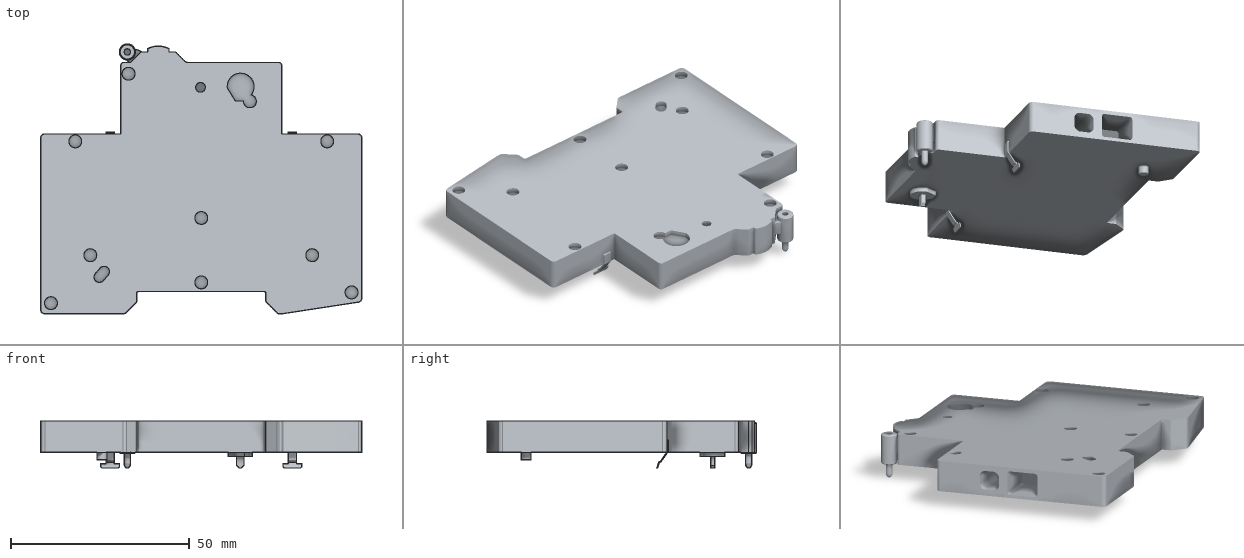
import cadquery as cq
import math

BODY_WIDTH = 89.8
BODY_THICKNESS = 8.8
HALF_WIDTH = BODY_WIDTH / 2
SHOULDER_Y = 50.3
TOWER_HALF_WIDTH = 22.55
TOWER_Y = 70.3
CORNER_RADIUS = 1.2
TOWER_CORNER_RADIUS = 1.0

NOTCH_HALF_WIDTH = 18.0
NOTCH_Y = 6.2
FOOT_SLOPE = 3.3
RIGHT_FOOT_SLOPE = 3.45
RIGHT_FOOT_FLAT = 1.2
RIGHT_EDGE_Y = 3.4
FOOT_RADIUS = 1.2
NOTCH_RADIUS = 0.8
RIGHT_FOOT_RADIUS = 0.8
RIGHT_FLAT_RADIUS = 2.0
NOTCH_CORNER_RADIUS = 0.4

HUMP_X = -12.0
HUMP_BASE_HALF_WIDTH = 7.7
HUMP_STEP_Y = 73.2
HUMP_CAP_HALF_WIDTH = 3.0
HUMP_CAP_Y = 74.1
HUMP_TOP_Y = 74.85
HUMP_BLEND_RADIUS = 1.5

RECESS_DIAMETER = 3.6
RECESS_DEPTH = 1.5
RECESS_POINTS = [
    (-20.3, 67.1),
    (-35.2, 48.2),
    (35.2, 48.2),
    (0, 26.8),
    (0, 8.8),
    (-31, 16.4),
    (31, 16.4),
    (-42, 3),
    (42, 6),
]
SMALL_HOLE_DIAMETER = 2.7
SMALL_HOLE_DEPTH = 4.0
SMALL_HOLE_POINT = (-0.2, 63.3)

SLOT_POINT = (-27.8, 11.05)
SLOT_WIDTH = 3.0
SLOT_LENGTH = 5.0
SLOT_DEPTH = 1.5
SLOT_ANGLE = 49
PEG_POINT = (-27.8, 11.0)
PEG_RADIUS = 1.4
PEG_HEIGHT = 2.1

KEY_RECESS_POINT = (11.0, 63.5)
KEY_RECESS_RADIUS = 3.75
KEY_RECESS_FLAT = 4.05
KEY_RECESS_DEPTH = 1.5
KEY_LOBE_POINT = (13.6, 59.4)
KEY_BOSS_POINT = (10.9, 63.15)
KEY_BOSS_RADIUS = 3.4
KEY_BOSS_FLAT = 3.6
KEY_BOSS_HEIGHT = 1.2
KEY_LEFT_ANGLE = 186
KEY_MIDDLE_ANGLE = 70
KEY_RIGHT_ANGLE = -45
KEY_SIDE_LEAN = 32
KEY_FLAT_REACH = 1.2
KEY_CORNER_RADIUS = 0.5
KEY_PIN_WIDTH = 2.1
KEY_PIN_DEPTH = 1.2
KEY_PIN_TIP_WIDTH = 0.7
KEY_PIN_TAPER = 0.75

UNDERSIDE_DEPTH = 4.4

SOCKET_DEPTH = 12.0
SQUARE_SOCKET = (24.65, 4.3, 8.9, 6.8, 0.7)
ROUND_SOCKET = (34.45, 4.4, 5.7, 5.5, 1.7)

BARREL_RADIUS = 2.25
BARREL_Y_END = 75.44
BARREL_POINT = (-20.65, BARREL_Y_END - BARREL_RADIUS)
BARREL_BOTTOM = -0.3
BARREL_TOP = 8.25
BARREL_CHAMFER = 0.25
BARREL_PIN_RADIUS = 0.9
BARREL_HOLE_DEPTH = 4.0
PIN_TIP_LENGTH = 1.1
PIN_TIP_RADIUS = 0.25
PIN_TIP_MIDDLE_RADIUS = 0.72
PIN_TIP_MIDDLE_HEIGHT = 0.44
ARM_BOTTOM = 2.95
ARM_TOP = 6.75
ARM_OUTLINE = [(0, 0), (2.0, 0.75), (3.0, 0.55), (4.1, 0), (4.1, -1.0), (0.9, -3.35), (-0.15, -2.3)]

CLIP_X = 25.45
CLIP_THICKNESS = 0.25
CLIP_STEM_WIDTH = 2.4
CLIP_HEAD_WIDTH = 5.3
CLIP_HEAD_TOP = -3.2
CLIP_HEAD_CHAMFER = 0.35
CLIP_TOP = 3.3
CLIP_GAP = 0.35
CLIP_ROOT_DEPTH = 1.0
CLIP_BEND_Z = 0.3
CLIP_KNEE_START = (48.6, -2.6)
CLIP_KNEE_END = (48.15, -2.8)
CLIP_TIP = (47.5, -4.8)
CLIP_TRIM_REACH = 10.0


def round_edge(body, x, y, radius):
    """Round the vertical body edge that stands at (x, y)."""
    return body.edges(cq.NearestToPointSelector((x, y, BODY_THICKNESS / 2))).fillet(radius)


def make_body():
    left_foot = -NOTCH_HALF_WIDTH - FOOT_SLOPE
    right_foot = NOTCH_HALF_WIDTH + RIGHT_FOOT_SLOPE
    right_flat_end = right_foot + RIGHT_FOOT_FLAT
    outline = [
        (-HALF_WIDTH, 0),
        (left_foot, 0),
        (-NOTCH_HALF_WIDTH, FOOT_SLOPE),
        (-NOTCH_HALF_WIDTH, NOTCH_Y),
        (NOTCH_HALF_WIDTH, NOTCH_Y),
        (NOTCH_HALF_WIDTH, RIGHT_FOOT_SLOPE),
        (right_foot, 0),
        (right_flat_end, 0),
        (HALF_WIDTH, RIGHT_EDGE_Y),
        (HALF_WIDTH, SHOULDER_Y),
        (TOWER_HALF_WIDTH, SHOULDER_Y),
        (TOWER_HALF_WIDTH, TOWER_Y),
        (-TOWER_HALF_WIDTH, TOWER_Y),
        (-TOWER_HALF_WIDTH, SHOULDER_Y),
        (-HALF_WIDTH, SHOULDER_Y),
    ]
    body = cq.Workplane("XY").polyline(outline).close().extrude(BODY_THICKNESS)
    rounded = [
        (-HALF_WIDTH, 0, CORNER_RADIUS),
        (-HALF_WIDTH, SHOULDER_Y, CORNER_RADIUS),
        (HALF_WIDTH, SHOULDER_Y, CORNER_RADIUS),
        (HALF_WIDTH, RIGHT_EDGE_Y, CORNER_RADIUS),
        (-TOWER_HALF_WIDTH, TOWER_Y, TOWER_CORNER_RADIUS),
        (TOWER_HALF_WIDTH, TOWER_Y, TOWER_CORNER_RADIUS),
        (left_foot, 0, FOOT_RADIUS),
        (right_foot, 0, RIGHT_FOOT_RADIUS),
        (right_flat_end, 0, RIGHT_FLAT_RADIUS),
        (-NOTCH_HALF_WIDTH, FOOT_SLOPE, NOTCH_RADIUS),
        (NOTCH_HALF_WIDTH, RIGHT_FOOT_SLOPE, NOTCH_RADIUS),
        (-NOTCH_HALF_WIDTH, NOTCH_Y, NOTCH_CORNER_RADIUS),
        (NOTCH_HALF_WIDTH, NOTCH_Y, NOTCH_CORNER_RADIUS),
    ]
    for x, y, radius in rounded:
        body = round_edge(body, x, y, radius)
    return body


def add_hump(body):
    slope_run = HUMP_STEP_Y - TOWER_Y
    hump = (
        cq.Workplane("XY")
        .moveTo(HUMP_X - HUMP_BASE_HALF_WIDTH, TOWER_Y)
        .lineTo(HUMP_X - HUMP_BASE_HALF_WIDTH + slope_run, HUMP_STEP_Y)
        .lineTo(HUMP_X - HUMP_CAP_HALF_WIDTH, HUMP_STEP_Y)
        .lineTo(HUMP_X - HUMP_CAP_HALF_WIDTH, HUMP_CAP_Y)
        .threePointArc((HUMP_X, HUMP_TOP_Y), (HUMP_X + HUMP_CAP_HALF_WIDTH, HUMP_CAP_Y))
        .lineTo(HUMP_X + HUMP_CAP_HALF_WIDTH, HUMP_STEP_Y)
        .lineTo(HUMP_X + HUMP_BASE_HALF_WIDTH - slope_run, HUMP_STEP_Y)
        .lineTo(HUMP_X + HUMP_BASE_HALF_WIDTH, TOWER_Y)
        .lineTo(HUMP_X + HUMP_BASE_HALF_WIDTH, SHOULDER_Y)
        .lineTo(HUMP_X - HUMP_BASE_HALF_WIDTH, SHOULDER_Y)
        .close()
        .extrude(BODY_THICKNESS)
    )
    body = body.union(hump)
    return round_edge(body, HUMP_X + HUMP_BASE_HALF_WIDTH, TOWER_Y, HUMP_BLEND_RADIUS)


def key_prism(point, radius, flat, base, height):
    """Round prism whose lower-left side leans down to a rounded corner on a flat bottom."""
    x, y = point

    def rim(degrees):
        angle = math.radians(degrees)
        return (x + radius * math.cos(angle), y + radius * math.sin(angle))

    left_x, left_y = rim(KEY_LEFT_ANGLE)
    flat_y = y - flat
    corner_x = left_x + (left_y - flat_y) * math.tan(math.radians(KEY_SIDE_LEAN))
    return (
        cq.Workplane("XY", origin=(0, 0, base))
        .moveTo(left_x, left_y)
        .threePointArc(rim(KEY_MIDDLE_ANGLE), rim(KEY_RIGHT_ANGLE))
        .lineTo(x + KEY_FLAT_REACH, flat_y)
        .lineTo(corner_x, flat_y)
        .close()
        .extrude(height)
        .edges(cq.NearestToPointSelector((corner_x, flat_y, base + height / 2)))
        .fillet(KEY_CORNER_RADIUS)
    )


def top_recess(points, diameter, depth):
    return (
        cq.Workplane("XY", origin=(0, 0, BODY_THICKNESS - depth))
        .pushPoints(points)
        .circle(diameter / 2)
        .extrude(depth)
    )


def top_slot():
    return (
        cq.Workplane("XY", origin=(*SLOT_POINT, BODY_THICKNESS - SLOT_DEPTH))
        .slot2D(SLOT_LENGTH, SLOT_WIDTH, SLOT_ANGLE)
        .extrude(SLOT_DEPTH)
    )


def cut_top_recesses(body):
    key_floor = BODY_THICKNESS - KEY_RECESS_DEPTH
    body = body.cut(top_recess(RECESS_POINTS, RECESS_DIAMETER, RECESS_DEPTH))
    body = body.cut(top_recess([SMALL_HOLE_POINT], SMALL_HOLE_DIAMETER, SMALL_HOLE_DEPTH))
    body = body.cut(top_slot())
    body = body.cut(
        key_prism(KEY_RECESS_POINT, KEY_RECESS_RADIUS, KEY_RECESS_FLAT, key_floor, KEY_RECESS_DEPTH)
    )
    return body.cut(top_recess([KEY_LOBE_POINT], RECESS_DIAMETER, KEY_RECESS_DEPTH))


def cut_socket(body, y, z, width, height, radius):
    socket = (
        cq.Workplane("XY")
        .box(SOCKET_DEPTH, width, height, centered=(False, True, True))
        .edges("|X")
        .fillet(radius)
        .translate((-HALF_WIDTH, y, z))
    )
    return body.cut(socket)


def make_peg():
    return cq.Workplane("XY", origin=(*PEG_POINT, -PEG_HEIGHT)).circle(PEG_RADIUS).extrude(PEG_HEIGHT)


def make_key_boss():
    boss = key_prism(KEY_BOSS_POINT, KEY_BOSS_RADIUS, KEY_BOSS_FLAT, -KEY_BOSS_HEIGHT, KEY_BOSS_HEIGHT)
    half_width = KEY_PIN_WIDTH / 2
    half_tip = KEY_PIN_TIP_WIDTH / 2
    shoulder_z = KEY_PIN_TAPER - UNDERSIDE_DEPTH
    pin = (
        cq.Workplane("XZ")
        .polyline([
            (-half_width, 0),
            (-half_width, shoulder_z),
            (-half_tip, -UNDERSIDE_DEPTH),
            (half_tip, -UNDERSIDE_DEPTH),
            (half_width, shoulder_z),
            (half_width, 0),
        ])
        .close()
        .extrude(KEY_PIN_DEPTH / 2, both=True)
        .translate((*KEY_BOSS_POINT, 0))
    )
    return boss.union(pin)


def make_hinge():
    x, y = BARREL_POINT
    barrel = (
        cq.Workplane("XY", origin=(x, y, BARREL_BOTTOM))
        .circle(BARREL_RADIUS)
        .extrude(BARREL_TOP - BARREL_BOTTOM)
        .edges()
        .chamfer(BARREL_CHAMFER)
    )
    tip_z = -UNDERSIDE_DEPTH
    pin = (
        cq.Workplane("XZ")
        .moveTo(0, 0)
        .lineTo(BARREL_PIN_RADIUS, 0)
        .lineTo(BARREL_PIN_RADIUS, tip_z + PIN_TIP_LENGTH)
        .threePointArc(
            (PIN_TIP_MIDDLE_RADIUS, tip_z + PIN_TIP_MIDDLE_HEIGHT),
            (PIN_TIP_RADIUS, tip_z),
        )
        .lineTo(0, tip_z)
        .close()
        .revolve(360, (0, 0, 0), (0, 1, 0))
        .translate((x, y, 0))
    )
    arm = (
        cq.Workplane("XY", origin=(x, y, ARM_BOTTOM))
        .polyline(ARM_OUTLINE)
        .close()
        .extrude(ARM_TOP - ARM_BOTTOM)
    )
    hole = (
        cq.Workplane("XY", origin=(x, y, BARREL_TOP - BARREL_HOLE_DEPTH))
        .circle(BARREL_PIN_RADIUS)
        .extrude(BARREL_HOLE_DEPTH)
    )
    return barrel.union(pin).union(arm).cut(hole)


def make_clip(x):
    """Bent strip held in the shoulder wall, swung under the body and ending in a wide head."""
    path = [
        (SHOULDER_Y - CLIP_ROOT_DEPTH, CLIP_TOP),
        (SHOULDER_Y + CLIP_GAP, CLIP_TOP),
        (SHOULDER_Y + CLIP_GAP, CLIP_BEND_Z),
        CLIP_KNEE_START,
        CLIP_KNEE_END,
        CLIP_TIP,
    ]
    sheet = (
        cq.Workplane("YZ", origin=(x, 0, 0))
        .polyline(path)
        .offset2D(CLIP_THICKNESS / 2)
        .extrude(CLIP_HEAD_WIDTH / 2, both=True)
    )
    half_stem = CLIP_STEM_WIDTH / 2
    half_head = CLIP_HEAD_WIDTH / 2
    outline = (
        cq.Workplane("XZ", origin=(x, SHOULDER_Y, 0))
        .polyline([
            (-half_stem, BODY_THICKNESS),
            (-half_stem, CLIP_HEAD_TOP),
            (-half_head, CLIP_HEAD_TOP),
            (-half_head, CLIP_HEAD_CHAMFER - UNDERSIDE_DEPTH),
            (CLIP_HEAD_CHAMFER - half_head, -UNDERSIDE_DEPTH),
            (half_head - CLIP_HEAD_CHAMFER, -UNDERSIDE_DEPTH),
            (half_head, CLIP_HEAD_CHAMFER - UNDERSIDE_DEPTH),
            (half_head, CLIP_HEAD_TOP),
            (half_stem, CLIP_HEAD_TOP),
            (half_stem, BODY_THICKNESS),
        ])
        .close()
        .extrude(CLIP_TRIM_REACH, both=True)
    )
    return sheet.intersect(outline)


result = add_hump(make_body())
result = cut_top_recesses(result)
for socket in (SQUARE_SOCKET, ROUND_SOCKET):
    result = cut_socket(result, *socket)
result = result.union(make_key_boss())
result = result.union(make_peg())
result = result.union(make_hinge())
for clip_x in (-CLIP_X, CLIP_X):
    result = result.union(make_clip(clip_x))